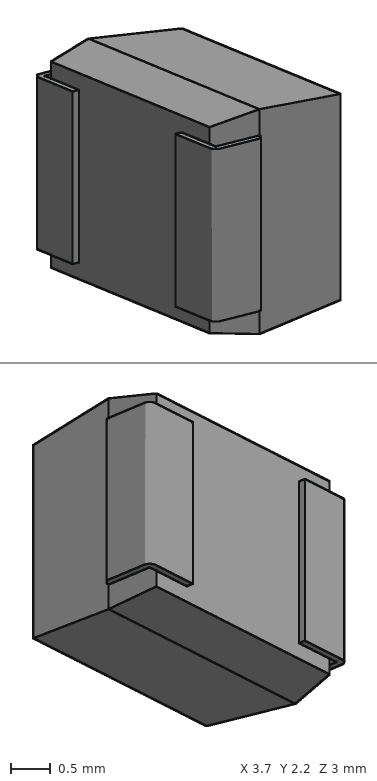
import cadquery as cq

overall_length = 3.7
overall_depth = 2.2
lead_thickness = 0.1

housing_length = overall_length - 2 * lead_thickness
housing_height = 3.0
housing_depth = overall_depth - lead_thickness
lower_depth = 0.7
upper_depth = housing_depth - lower_depth
face_inset = 0.125

lead_width = 2.3
foot_length = 0.8

foot_y = -overall_depth / 2
mounting_face_y = foot_y + lead_thickness
parting_y = mounting_face_y + lower_depth


def tapered_half(depth):
    """Half of the housing; drafted from the parting plane by a signed depth along Y."""
    return (
        cq.Workplane("XZ", origin=(0, parting_y, 0))
        .rect(housing_length, housing_height)
        .workplane(offset=-depth)
        .rect(housing_length - 2 * face_inset, housing_height - 2 * face_inset)
        .loft(ruled=True)
    )


def lead(side):
    """Lead with its foot under the mounting face, at the -X end (side = -1) or the +X end (side = 1)."""
    outer_x = side * overall_length / 2
    inner_x = side * housing_length / 2
    foot_tip_x = side * (overall_length / 2 - foot_length)
    return (
        cq.Workplane("XY", origin=(0, 0, -lead_width / 2))
        .moveTo(foot_tip_x, foot_y)
        .lineTo(inner_x, foot_y)
        .radiusArc((outer_x, mounting_face_y), -side * lead_thickness)
        .lineTo(outer_x, parting_y - lead_thickness)
        .radiusArc((inner_x, parting_y), -side * lead_thickness)
        .lineTo(inner_x, mounting_face_y)
        .lineTo(foot_tip_x, mounting_face_y)
        .close()
        .extrude(lead_width)
    )


upper_housing = tapered_half(upper_depth)
lower_housing = tapered_half(-lower_depth)
leads = [lead(side) for side in (-1, 1)]

result = cq.Compound.makeCompound(
    [upper_housing.val(), lower_housing.val(), *[strip.val() for strip in leads]]
)